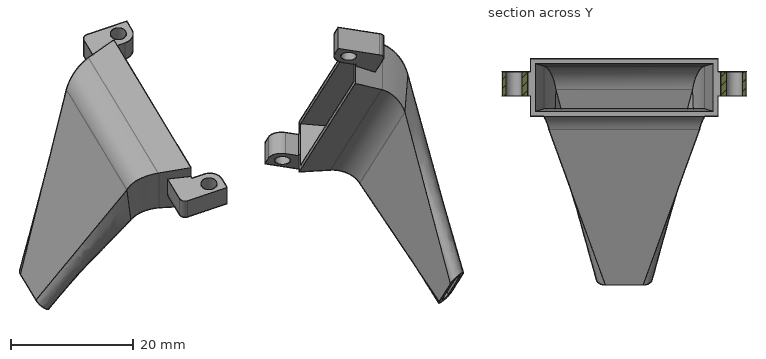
import cadquery as cq
import math

MOUTH_TOP = (0, 0)
MOUTH_BOTTOM = (0, -9.48)
BEND_START_TOP = (-5.25, -0.45)
BEND_START_BOTTOM = (-4.9, -9.05)
BEND_END_TOP = (-10.05, -4.25)
BEND_END_BOTTOM = (-9.45, -11.6)
OUTLET_TOP = (-22.3, -34.87)
OUTLET_BOTTOM = (-20.15, -37.07)

MOUTH_HALF_WIDTH = 15.35
SIDE_TAPER_ANGLE = math.radians(15.7)
SIDE_CURVE_START_Y = -5.08
SIDE_CURVE_RADIUS = 31.6
OUTLET_FLAT_HALF_WIDTH = 3.08
WALL = 0.85

OVERALL_WIDTH = 40
EAR_BACK = 4.4
EAR_FRONT = -3.7
EAR_TOP = -2.15
EAR_THICKNESS = 4
EAR_INNER_X = 15.75
EAR_BACK_RADIUS = 2.2
EAR_FRONT_RADIUS = 1.0
HOLE_DIAMETER = 2.6
HOLE_X = 18.05
HOLE_Y = 2


def side_curve_start(inset):
    """Y where the side arc begins; it shifts with the inset because the offset is square to the side."""
    return SIDE_CURVE_START_Y + inset * math.sin(SIDE_TAPER_ANGLE)


def half_width(y, inset):
    """Half width in plan: a straight taper, then a tangent arc past its start."""
    curve_y = side_curve_start(inset)
    if y >= curve_y:
        taper = math.tan(SIDE_TAPER_ANGLE)
        return MOUTH_HALF_WIDTH + taper * y - inset / math.cos(SIDE_TAPER_ANGLE)
    curve_start_x = half_width(SIDE_CURVE_START_Y, 0)
    center_x = curve_start_x - SIDE_CURVE_RADIUS * math.cos(SIDE_TAPER_ANGLE)
    center_y = SIDE_CURVE_START_Y + SIDE_CURVE_RADIUS * math.sin(SIDE_TAPER_ANGLE)
    return center_x + math.sqrt((SIDE_CURVE_RADIUS - inset) ** 2 - (y - center_y) ** 2)


def inset_pair(top, bottom, inset):
    """Move the two ends of a cross-section line toward each other."""
    dy = bottom[0] - top[0]
    dz = bottom[1] - top[1]
    length = math.hypot(dy, dz)
    step_y = inset * dy / length
    step_z = inset * dz / length
    return (top[0] + step_y, top[1] + step_z), (bottom[0] - step_y, bottom[1] - step_z)


def arc_middle(before, start, end):
    """Middle of the arc from start to end, tangent to the line from before to start."""
    dy = end[0] - start[0]
    dz = end[1] - start[1]
    line_angle = math.atan2(start[1] - before[1], before[0] - start[0])
    chord_angle = math.atan2(dz, -dy)
    bulge = math.tan((line_angle - chord_angle) / 2) / 2
    return (start[0] + end[0]) / 2 + bulge * dz, (start[1] + end[1]) / 2 - bulge * dy


def elbow(inset):
    """Straight mouth and bend: a side profile trimmed by the tapering sides."""
    mouth_top, mouth_bottom = inset_pair(MOUTH_TOP, MOUTH_BOTTOM, inset)
    start_top, start_bottom = inset_pair(BEND_START_TOP, BEND_START_BOTTOM, inset)
    end_top, end_bottom = inset_pair(BEND_END_TOP, BEND_END_BOTTOM, inset)
    profile = (
        cq.Workplane("YZ")
        .moveTo(*mouth_top)
        .lineTo(*start_top)
        .threePointArc(arc_middle(mouth_top, start_top, end_top), end_top)
        .lineTo(*end_bottom)
        .threePointArc(arc_middle(mouth_bottom, start_bottom, end_bottom), start_bottom)
        .lineTo(*mouth_bottom)
        .close()
    )
    side_slab = profile.extrude(MOUTH_HALF_WIDTH, both=True)

    mouth_half = half_width(0, inset)
    curve_y = side_curve_start(inset)
    curve_half = half_width(curve_y, inset)
    deep_y = OUTLET_BOTTOM[0]
    deep_half = half_width(deep_y, inset)
    middle_y = (curve_y + deep_y) / 2
    middle_half = half_width(middle_y, inset)
    tapered_block = (
        cq.Workplane("XY")
        .workplane(offset=OUTLET_BOTTOM[1])
        .moveTo(-mouth_half, 0)
        .lineTo(mouth_half, 0)
        .lineTo(curve_half, curve_y)
        .threePointArc((middle_half, middle_y), (deep_half, deep_y))
        .lineTo(-deep_half, deep_y)
        .threePointArc((-middle_half, middle_y), (-curve_half, curve_y))
        .close()
        .extrude(-OUTLET_BOTTOM[1])
    )
    return side_slab.intersect(tapered_block)


def funnel(inset):
    """Ruled loft from the four-sided bend end to the round-ended outlet."""
    top, bottom = inset_pair(BEND_END_TOP, BEND_END_BOTTOM, inset)
    top_half = half_width(top[0], inset)
    bottom_half = half_width(bottom[0], inset)
    bend_end = cq.Wire.makePolygon(
        [
            cq.Vector(-top_half, *top),
            cq.Vector(top_half, *top),
            cq.Vector(bottom_half, *bottom),
            cq.Vector(-bottom_half, *bottom),
        ],
        close=True,
    )

    out_top, out_bottom = inset_pair(OUTLET_TOP, OUTLET_BOTTOM, inset)
    flat = OUTLET_FLAT_HALF_WIDTH
    end_radius = math.dist(out_top, out_bottom) / 2
    mid_y = (out_top[0] + out_bottom[0]) / 2
    mid_z = (out_top[1] + out_bottom[1]) / 2
    top_left = cq.Vector(-flat, *out_top)
    top_right = cq.Vector(flat, *out_top)
    bottom_right = cq.Vector(flat, *out_bottom)
    bottom_left = cq.Vector(-flat, *out_bottom)
    right_tip = cq.Vector(flat + end_radius, mid_y, mid_z)
    left_tip = cq.Vector(-flat - end_radius, mid_y, mid_z)
    outlet = cq.Wire.assembleEdges(
        [
            cq.Edge.makeLine(top_left, top_right),
            cq.Edge.makeThreePointArc(top_right, right_tip, bottom_right),
            cq.Edge.makeLine(bottom_right, bottom_left),
            cq.Edge.makeThreePointArc(bottom_left, left_tip, top_left),
        ]
    )
    return cq.Workplane(cq.Solid.makeLoft([bend_end, outlet], True))


def ear():
    """Right-hand mounting ear, reaching in to the outer side of the duct."""
    outer_x = OVERALL_WIDTH / 2
    front_inner_x = half_width(EAR_FRONT, WALL / 2)
    mouth_inner_x = half_width(0, WALL / 2)
    outline = [
        (outer_x, EAR_FRONT),
        (outer_x, EAR_BACK),
        (EAR_INNER_X, EAR_BACK),
        (EAR_INNER_X, 0),
        (mouth_inner_x, 0),
        (front_inner_x, EAR_FRONT),
    ]
    plate = cq.Workplane("XY").workplane(offset=EAR_TOP).polyline(outline).close().extrude(-EAR_THICKNESS)
    back_corner = cq.selectors.NearestToPointSelector((EAR_INNER_X, EAR_BACK, EAR_TOP - EAR_THICKNESS / 2))
    front_corner = cq.selectors.NearestToPointSelector((outer_x, EAR_FRONT, EAR_TOP - EAR_THICKNESS / 2))
    plate = plate.edges("|Z").edges(back_corner).fillet(EAR_BACK_RADIUS)
    plate = plate.edges("|Z").edges(front_corner).fillet(EAR_FRONT_RADIUS)
    hole = (
        cq.Workplane("XY")
        .workplane(offset=EAR_TOP)
        .center(HOLE_X, HOLE_Y)
        .circle(HOLE_DIAMETER / 2)
        .extrude(-EAR_THICKNESS)
    )
    return plate.cut(hole)


right_ear = ear()
left_ear = right_ear.mirror("YZ")
shell = elbow(0).union(funnel(0))
shell = shell.cut(elbow(WALL)).cut(funnel(WALL))
result = shell.union(right_ear).union(left_ear)